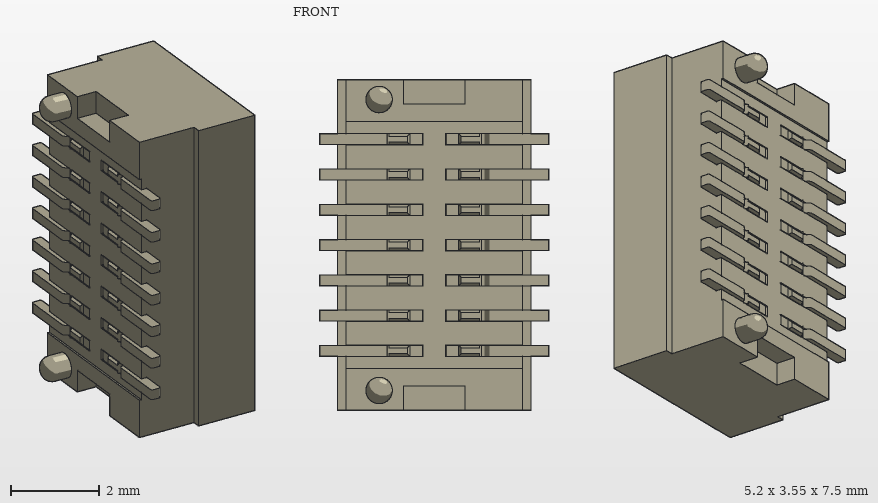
import cadquery as cq
import math


housing_length = 7.5
upper_width = 4.4
lower_width = 4.0
back_y = 3.0
shoulder_y = 1.5
end_face_y = 0.05
middle_face_y = 0.10
middle_length = 5.6

notch_width = 1.4
notch_height = 0.55
notch_depth = 0.5

peg_radius = 0.3
peg_tip_radius = 0.25
peg_tip_y = -0.55
peg_x = -1.25
peg_offset_z = 3.3

leads_per_row = 7
lead_pitch = 0.8
lead_width = 0.25
lead_thickness = 0.25
lead_outer_x = 2.6
lead_inner_x = 0.27
lead_corner_radius = 0.05
slot_width = 0.26
slot_inner_x = 0.25

foot_inner_x = 1.3
bend_angle = math.radians(60)
foot_radius = 0.10
gap_radius = 0.03
gap_y = 0.16

pad_y = 0.06
tail_y = 0.12
pad_outer_x = 1.075
pad_inner_x = 0.555
pad_bevel = tail_y - pad_y
pad_inner_setback = 0.055


def box_between(x_range, y_range, z_range):
    sizes = [high - low for low, high in (x_range, y_range, z_range)]
    corner = (x_range[0], y_range[0], z_range[0])
    return cq.Workplane("XY").box(*sizes, centered=False).translate(corner)


def make_housing():
    half_length = housing_length / 2
    z_range = (-half_length, half_length)
    upper = box_between((-upper_width / 2, upper_width / 2), (shoulder_y, back_y), z_range)
    lower_x_range = (-lower_width / 2, lower_width / 2)
    lower = box_between(lower_x_range, (end_face_y, shoulder_y), z_range)
    middle_z_range = (-middle_length / 2, middle_length / 2)
    middle_recess = box_between(lower_x_range, (end_face_y, middle_face_y), middle_z_range)
    housing = upper.union(lower).cut(middle_recess)

    notch = box_between(
        (-notch_width / 2, notch_width / 2),
        (end_face_y, end_face_y + notch_depth),
        (half_length - notch_height, half_length),
    )
    return housing.cut(notch).cut(notch.mirror("XY"))


def make_peg(z):
    """Round peg along Y, sunk into the housing as far as the middle face."""
    peg = cq.Workplane("XZ", origin=(peg_x, middle_face_y, z))
    peg = peg.circle(peg_radius).extrude(middle_face_y - peg_tip_y)
    return peg.faces("<Y").edges().fillet(peg_tip_radius)


def arc_point(center, radius, angle, side):
    """Point on a bend; the angle runs from -Y toward -X for side -1, from +Y toward +X for side +1."""
    return (center[0] + side * radius * math.sin(angle), center[1] + side * radius * math.cos(angle))


def make_lead():
    """Lead of the +X row, centred on Z = 0."""
    foot_center = (foot_inner_x, foot_radius)
    foot_bend_end = arc_point(foot_center, foot_radius, bend_angle, -1)
    foot_bend_middle = arc_point(foot_center, foot_radius, bend_angle / 2, -1)

    gap_bend_start_y = gap_y - gap_radius * (1 - math.cos(bend_angle))
    slope_run = (gap_bend_start_y - foot_bend_end[1]) / math.tan(bend_angle)
    gap_bend_start = (foot_bend_end[0] - slope_run, gap_bend_start_y)
    gap_bend_end = (gap_bend_start[0] - gap_radius * math.sin(bend_angle), gap_y)
    gap_center = (gap_bend_end[0], gap_y - gap_radius)
    gap_bend_middle = arc_point(gap_center, gap_radius, bend_angle / 2, 1)

    lead = (
        cq.Workplane("XY", origin=(0, 0, -lead_width / 2))
        .moveTo(lead_outer_x, lead_thickness)
        .lineTo(lead_outer_x, 0)
        .lineTo(foot_inner_x, 0)
        .threePointArc(foot_bend_middle, foot_bend_end)
        .lineTo(*gap_bend_start)
        .threePointArc(gap_bend_middle, gap_bend_end)
        .lineTo(pad_outer_x, gap_y)
        .lineTo(pad_outer_x, pad_y)
        .lineTo(pad_inner_x + pad_inner_setback, pad_y)
        .lineTo(pad_inner_x, tail_y)
        .lineTo(lead_inner_x, tail_y)
        .lineTo(lead_inner_x, lead_thickness)
        .close()
        .extrude(lead_width)
    )
    pad_end_edge = cq.selectors.NearestToPointSelector((pad_outer_x, pad_y, 0))
    tip_edge = cq.selectors.NearestToPointSelector((lead_inner_x, tail_y, 0))
    lead = lead.faces(">X").edges("|Z").fillet(lead_corner_radius)
    lead = lead.edges(pad_end_edge).fillet(lead_corner_radius)
    lead = lead.edges(tip_edge).fillet(lead_corner_radius)

    side_bevel = (
        cq.Workplane("YZ", origin=(pad_inner_x, 0, 0))
        .moveTo(pad_y, lead_width / 2 - pad_bevel)
        .lineTo(tail_y, lead_width / 2)
        .lineTo(pad_y, lead_width / 2)
        .close()
        .extrude(pad_outer_x - lead_corner_radius - pad_inner_x)
    )
    return lead.cut(side_bevel).cut(side_bevel.mirror("XY"))


def make_slot():
    """Slot for a lead of the +X row, open through the side of the housing."""
    return box_between(
        (slot_inner_x, lower_width / 2),
        (middle_face_y, lead_thickness),
        (-slot_width / 2, slot_width / 2),
    )


def at_every_lead(feature):
    """Copies of a +X row feature at every lead position of both rows."""
    copies = []
    for index in range(leads_per_row):
        z = (index - (leads_per_row - 1) / 2) * lead_pitch
        copies.append(feature.translate((0, 0, z)))
        copies.append(feature.mirror("YZ").translate((0, 0, z)))
    return copies


result = make_housing()
for slot in at_every_lead(make_slot()):
    result = result.cut(slot)
for lead in at_every_lead(make_lead()):
    result = result.union(lead)
for peg_z in (-peg_offset_z, peg_offset_z):
    result = result.union(make_peg(peg_z))